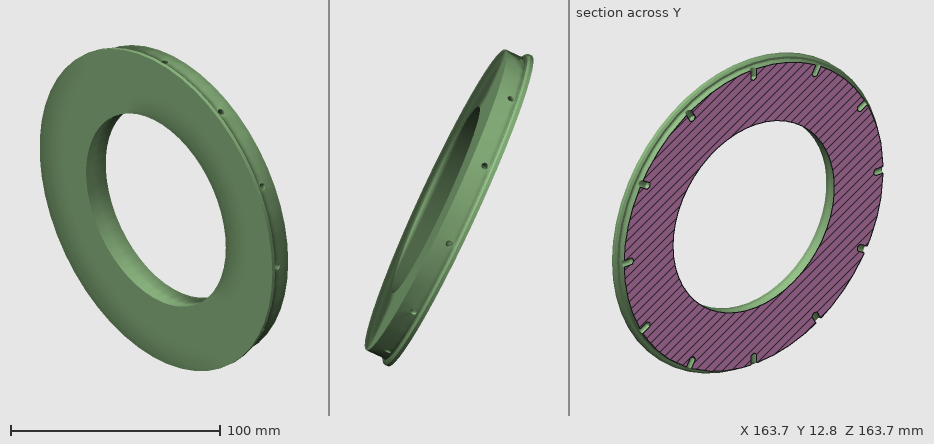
import cadquery as cq
import math

flange_diameter = 163.7
body_diameter = 158.5
bore_diameter = 98.2
ring_width = 12.8

flange_width = 2.8
rim_chamfer = 1.0
root_chamfer = 0.5

hole_count = 12
hole_diameter = 3.3
hole_depth = 4.9
hole_offset = 5.7
drill_point_angle = 118.0

flange_radius = flange_diameter / 2
body_radius = body_diameter / 2
bore_radius = bore_diameter / 2
front_y = -ring_width / 2
back_y = ring_width / 2
flange_back_y = front_y + flange_width


def make_ring():
    """Revolve the flanged half section around the Y axis."""
    section = (
        cq.Workplane("XY")
        .moveTo(bore_radius, front_y)
        .lineTo(flange_radius, front_y)
        .lineTo(flange_radius, flange_back_y - rim_chamfer)
        .lineTo(flange_radius - rim_chamfer, flange_back_y)
        .lineTo(body_radius + root_chamfer, flange_back_y)
        .lineTo(body_radius, flange_back_y + root_chamfer)
        .lineTo(body_radius, back_y)
        .lineTo(bore_radius, back_y)
        .close()
    )
    return section.revolve(360, (0, 0, 0), (0, 1, 0))


def make_drill(angle):
    """Solid of one radial hole, tip toward the axis, turned by angle around the Y axis."""
    radius = hole_diameter / 2
    tip_length = radius / math.tan(math.radians(drill_point_angle / 2))
    center_y = front_y + hole_offset
    shoulder_z = body_radius - hole_depth
    drill = (
        cq.Workplane("YZ")
        .moveTo(center_y, shoulder_z - tip_length)
        .lineTo(center_y + radius, shoulder_z)
        .lineTo(center_y + radius, flange_radius)
        .lineTo(center_y, flange_radius)
        .close()
        .revolve(360, (center_y, 0, 0), (center_y, 1, 0))
    )
    return drill.rotate((0, 0, 0), (0, 1, 0), angle)


result = make_ring()
for index in range(hole_count):
    result = result.cut(make_drill(index * 360 / hole_count))